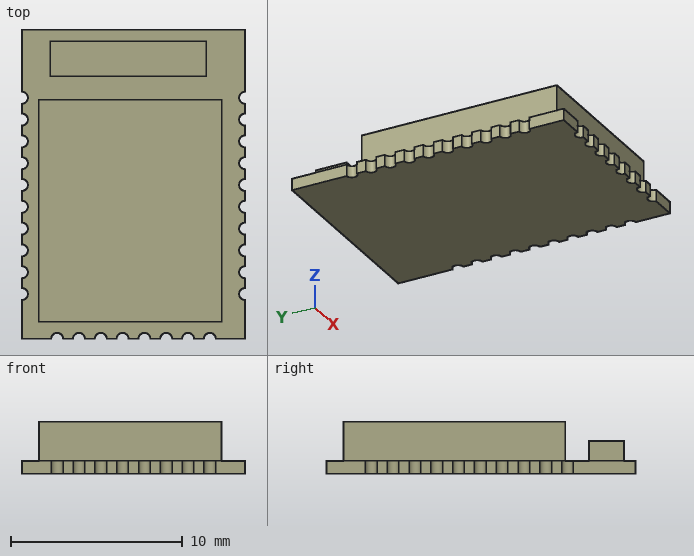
import cadquery as cq

board_width = 13.0
board_length = 18.0
board_thickness = 0.75
overall_height = 3.05

shield_margin = 0.99
shield_width = 10.64
shield_length = 12.92
shield_height = overall_height - board_thickness

antenna_left = 1.65
antenna_width = 9.09
antenna_length = 2.05
antenna_back_gap = 0.67
antenna_height = 1.17

pad_width = 0.8
pad_depth = 0.54
hole_radius = 0.35

side_pad_count = 10
side_pad_span = 11.43
side_pad_start = 2.61
front_pad_count = 8
front_pad_span = 8.9
front_pad_start = 2.05


def block(left, front, bottom, width, length, height):
    """Box placed by its lower left front corner."""
    return cq.Workplane("XY").box(width, length, height, centered=False).translate((left, front, bottom))


def evenly_spaced(start, span, count):
    pitch = span / (count - 1)
    return [start + i * pitch for i in range(count)]


side_centres = evenly_spaced(side_pad_start, side_pad_span, side_pad_count)
front_centres = evenly_spaced(front_pad_start, front_pad_span, front_pad_count)

left_holes = [(0, y) for y in side_centres]
right_holes = [(board_width, y) for y in side_centres]
front_holes = [(x, 0) for x in front_centres]


def pads(hole_centres, size_x, size_y, shift_x, shift_y):
    """Full-thickness pads, each shifted inward from its hole centre."""
    pad_centres = [(x + shift_x, y + shift_y) for x, y in hole_centres]
    return cq.Workplane("XY").pushPoints(pad_centres).rect(size_x, size_y).extrude(board_thickness)


all_pads = (
    pads(left_holes, pad_depth, pad_width, pad_depth / 2, 0)
    .union(pads(right_holes, pad_depth, pad_width, -pad_depth / 2, 0))
    .union(pads(front_holes, pad_width, pad_depth, 0, pad_depth / 2))
)

holes = (
    cq.Workplane("XY")
    .pushPoints(left_holes + right_holes + front_holes)
    .circle(hole_radius)
    .extrude(board_thickness)
)

board_blank = block(0, 0, 0, board_width, board_length, board_thickness)
bare_board = board_blank.cut(all_pads).cut(holes)

board = bare_board.union(all_pads.cut(holes), clean=False)

shield = block(
    shield_margin, shield_margin, board_thickness,
    shield_width, shield_length, shield_height,
)

antenna_front = board_length - antenna_back_gap - antenna_length
antenna = block(
    antenna_left, antenna_front, board_thickness,
    antenna_width, antenna_length, antenna_height,
)

result = board.union(shield, clean=False).union(antenna, clean=False)